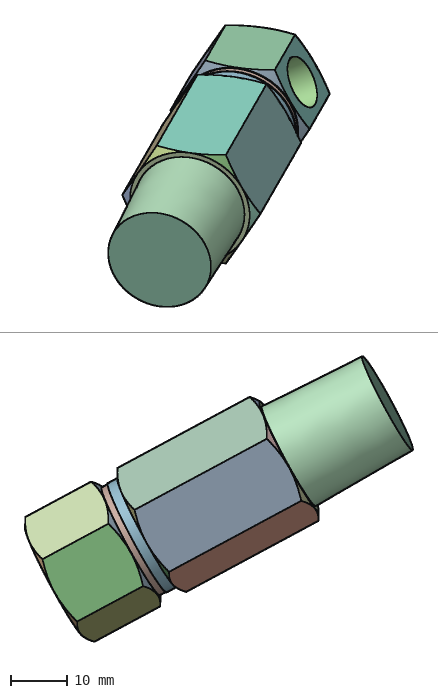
import cadquery as cq
import math

total_length = 67.3
nut_across_flats = 22.2
body_across_flats = 22.1

shank_length = 19.9
body_hex_length = 28.7
collar_length = 1.95
neck_length = 1.3
body_hex_end = shank_length + body_hex_length
joint_plane = body_hex_end + collar_length
nut_hex_start = joint_plane + neck_length
nut_hex_length = total_length - nut_hex_start

chamfer_circle_radius = 11.05
chamfer_angle = 30.0

shank_tip_radius = 9.5
shank_root_radius = 10.1
collar_radius = chamfer_circle_radius
neck_radius = 10.9

port_diameter = 9.55
port_from_end = 7.75
port_tilt = 30.0


def axial_plane(y):
    """Plane square to the axis at station y, with its normal toward +Y."""
    return cq.Workplane(cq.Plane(origin=(0, y, 0), xDir=(1, 0, 0), normal=(0, 1, 0)))


def chamfered_hexagon(across_flats, start, length):
    """Hexagonal bar with flats at top and bottom, its corners turned conical at both ends."""
    corner_radius = across_flats / math.sqrt(3)
    hexagon = axial_plane(start).polygon(6, 2 * corner_radius).extrude(length)
    chamfer_drop = (corner_radius - chamfer_circle_radius) * math.tan(math.radians(chamfer_angle))
    end = start + length
    envelope = (
        cq.Workplane("XY")
        .moveTo(0, start)
        .lineTo(chamfer_circle_radius, start)
        .lineTo(corner_radius, start + chamfer_drop)
        .lineTo(corner_radius, end - chamfer_drop)
        .lineTo(chamfer_circle_radius, end)
        .lineTo(0, end)
        .close()
        .revolve(360, (0, 0, 0), (0, 1, 0))
    )
    return hexagon.intersect(envelope)


def make_body():
    """Tapered shank, hexagon and round collar."""
    shank = (
        cq.Workplane("XY")
        .polyline([(0, 0), (shank_tip_radius, 0), (shank_root_radius, shank_length), (0, shank_length)])
        .close()
        .revolve(360, (0, 0, 0), (0, 1, 0))
    )
    collar = axial_plane(body_hex_end).circle(collar_radius).extrude(collar_length)
    return chamfered_hexagon(body_across_flats, shank_length, body_hex_length).union(shank).union(collar)


def make_nut():
    """Hexagonal nut with a round neck and a side port."""
    neck = axial_plane(joint_plane).circle(neck_radius).extrude(neck_length)
    tilt = math.radians(port_tilt)
    port_plane = cq.Plane(
        origin=(0, total_length - port_from_end, 0),
        xDir=(0, 1, 0),
        normal=(math.cos(tilt), 0, math.sin(tilt)),
    )
    port = cq.Workplane(port_plane).circle(port_diameter / 2).extrude(nut_across_flats)
    hexagon = chamfered_hexagon(nut_across_flats, nut_hex_start, nut_hex_length)
    return hexagon.union(neck).cut(port)


body = make_body()
nut = make_nut()

result = cq.Compound.makeCompound([body.val(), nut.val()])